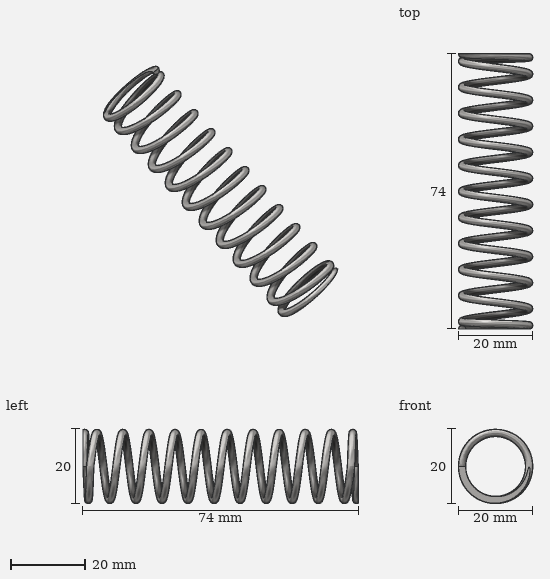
import cadquery as cq

outer_diameter = 20.0
wire_diameter = 2.0
free_length = 74.0
active_turns = 10
end_turns = 1

wire_radius = wire_diameter / 2
coil_radius = (outer_diameter - wire_diameter) / 2
end_pitch = wire_diameter
end_length = end_turns * end_pitch
active_length = free_length - 2 * end_length
active_pitch = active_length / active_turns


def helix(start, length, pitch):
    """Left-handed wire centreline about Z, rising from height start."""
    return cq.Wire.makeHelix(pitch, length, coil_radius, center=cq.Vector(0, 0, start), lefthand=True)


def coiled_wire():
    """Round wire with a closed end, the active coils and another closed end."""
    stretches = [
        helix(0, end_length, end_pitch),
        helix(end_length, active_length, active_pitch),
        helix(free_length - end_length, end_length, end_pitch),
    ]
    centreline = cq.Wire.combine(stretches)[0]
    section = cq.Workplane("XZ", origin=(coil_radius, 0, 0)).circle(wire_radius)
    return section.sweep(cq.Workplane(obj=centreline), isFrenet=True, transition="transformed")


def ground_envelope():
    """Space between the two ground faces, wider than the coil."""
    width = 2 * outer_diameter
    return cq.Workplane("XY").box(width, width, free_length, centered=(True, True, False))


spring = coiled_wire().intersect(ground_envelope())

spring = spring.rotate((0, 0, 0), (0, 0, 1), 180)
result = spring.rotate((0, 0, 0), (1, 0, 0), -90)